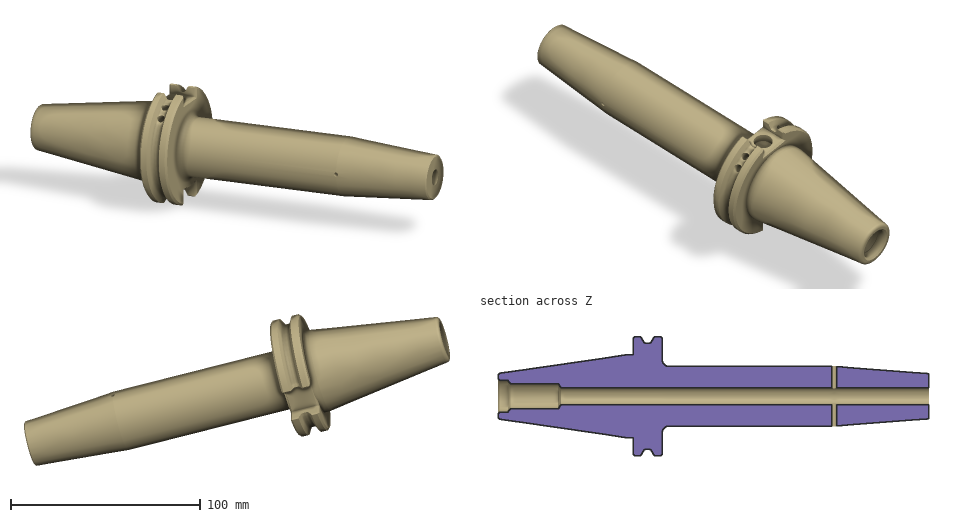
import cadquery as cq
import math

total_length = 228.2
gauge_x = 68.2
flange_start = 71.5
flange_end = 87.2
flange_width = flange_end - flange_start
nose_length = 50.2
nose_start = total_length - nose_length

taper_large_radius = 22.1
taper_ratio = 7 / 24
taper_small_radius = taper_large_radius - gauge_x * taper_ratio / 2
flange_radius = 31.7
neck_radius = 16.0
nose_tip_radius = 12.0

taper_end_fillet = 1.8
flange_chamfer = 1.0
slot_mouth_chamfer = 0.7
neck_fillet = 3.2
nose_chamfer = 0.7

groove_center = 79.2
groove_floor_radius = 28.0
groove_floor_width = 3.0
groove_fillet = 1.4
groove_side_angle = 30.0

slot_width = 16.0
upper_slot_floor = 25.0
lower_slot_floor = 22.4

chip_hole_diameter = 10.0
chip_hole_depth = 4.5

groove_hole_diameter = 4.0
groove_hole_depth = 5.7
groove_hole_angles = (30.0, 45.0)

mouth_radius = 9.4
pilot_radius = 8.5
pilot_depth = 5.5
lead_radius = 8.0
thread_radius = 6.6
thread_depth = 32.0
bore_radius = 4.3
mouth_angle = 45.0
thread_lead_angle = 45.0
drill_tip_angle = 59.0

vent_diameter = 2.3


def cone_length(radius_change, angle):
    """Axial length of a cone whose side leans by angle from the axis."""
    return radius_change / math.tan(math.radians(angle))


def revolve_profile(sketch):
    """Turn a closed profile of (x, radius) points around the spindle axis."""
    return sketch.close().revolve(360, (0, 0, 0), (1, 0, 0))


def make_shank():
    """Taper, neck and nose, with the neck root fillet behind the flange."""
    shank = revolve_profile(
        cq.Workplane("XZ")
        .moveTo(0, 0)
        .lineTo(0, taper_small_radius)
        .lineTo(gauge_x, taper_large_radius)
        .lineTo(flange_end, taper_large_radius)
        .lineTo(flange_end, neck_radius + neck_fillet)
        .radiusArc((flange_end + neck_fillet, neck_radius), -neck_fillet)
        .lineTo(nose_start, neck_radius)
        .lineTo(total_length, nose_tip_radius)
        .lineTo(total_length, 0)
    )
    shank = shank.faces("<X").edges().fillet(taper_end_fillet)
    return shank.faces(">X").edges().chamfer(nose_chamfer)


def make_slot(floor_height, direction):
    """Drive slot through the flange, open towards +Z or -Z."""
    slot_box = cq.Workplane("XY").box(
        flange_width, slot_width, flange_radius, centered=(False, True, False)
    )
    slot = slot_box.translate((flange_start, 0, floor_height))
    return slot if direction > 0 else slot.mirror("XY")


def make_groove():
    """Ring with a V section whose flat floor meets the flanks in fillets."""
    flank_slope = math.tan(math.radians(groove_side_angle))
    half_floor = groove_floor_width / 2
    half_mouth = half_floor + (flange_radius - groove_floor_radius) * flank_slope
    ring = revolve_profile(
        cq.Workplane("XZ").polyline([
            (groove_center - half_floor, groove_floor_radius),
            (groove_center + half_floor, groove_floor_radius),
            (groove_center + half_mouth, flange_radius),
            (groove_center - half_mouth, flange_radius),
        ])
    )
    inner_edges = cq.selectors.RadiusNthSelector(0)
    return ring.edges(inner_edges).fillet(groove_fillet)


def make_flange():
    """Slotted disc with every rim and slot edge chamfered, then the V-groove cut around it."""
    disc = cq.Workplane("YZ", origin=(flange_start, 0, 0)).circle(flange_radius).extrude(flange_width)
    disc = disc.cut(make_slot(upper_slot_floor, 1)).cut(make_slot(lower_slot_floor, -1))
    disc = disc.faces("<X or >X").edges().chamfer(flange_chamfer)
    disc = disc.edges("|X").edges(">Z or <Z").chamfer(slot_mouth_chamfer)
    return disc.cut(make_groove())


def make_groove_hole(angle):
    """Blind radial hole in the groove floor, at an angle from +Z around the spindle axis."""
    hole = (
        cq.Workplane("XY", origin=(groove_center, 0, groove_floor_radius - groove_hole_depth))
        .circle(groove_hole_diameter / 2)
        .extrude(flange_radius)
    )
    return hole.rotate((0, 0, 0), (1, 0, 0), angle)


def make_bore():
    """Stepped axial bore, open at both ends."""
    mouth_end = cone_length(mouth_radius - pilot_radius, mouth_angle)
    lead_end = pilot_depth + cone_length(lead_radius - thread_radius, thread_lead_angle)
    tip_end = thread_depth + cone_length(thread_radius - bore_radius, drill_tip_angle)
    return revolve_profile(
        cq.Workplane("XZ").polyline([
            (0, 0),
            (0, mouth_radius),
            (mouth_end, pilot_radius),
            (pilot_depth, pilot_radius),
            (pilot_depth, lead_radius),
            (lead_end, thread_radius),
            (thread_depth, thread_radius),
            (tip_end, bore_radius),
            (total_length, bore_radius),
            (total_length, 0),
        ])
    )


def make_chip_hole():
    """Blind hole for a data chip, sunk into the floor of the upper slot."""
    return (
        cq.Workplane("XY", origin=(groove_center, 0, upper_slot_floor - chip_hole_depth))
        .circle(chip_hole_diameter / 2)
        .extrude(flange_radius)
    )


def make_vent_hole():
    """Cross hole along Y, through both walls at the root of the nose."""
    return (
        cq.Workplane("XZ", origin=(nose_start, 0, 0))
        .circle(vent_diameter / 2)
        .extrude(flange_radius, both=True)
    )


result = make_shank().union(make_flange())
result = result.cut(make_bore()).cut(make_chip_hole()).cut(make_vent_hole())
for hole_angle in groove_hole_angles:
    for side in (1, -1):
        result = result.cut(make_groove_hole(side * hole_angle))